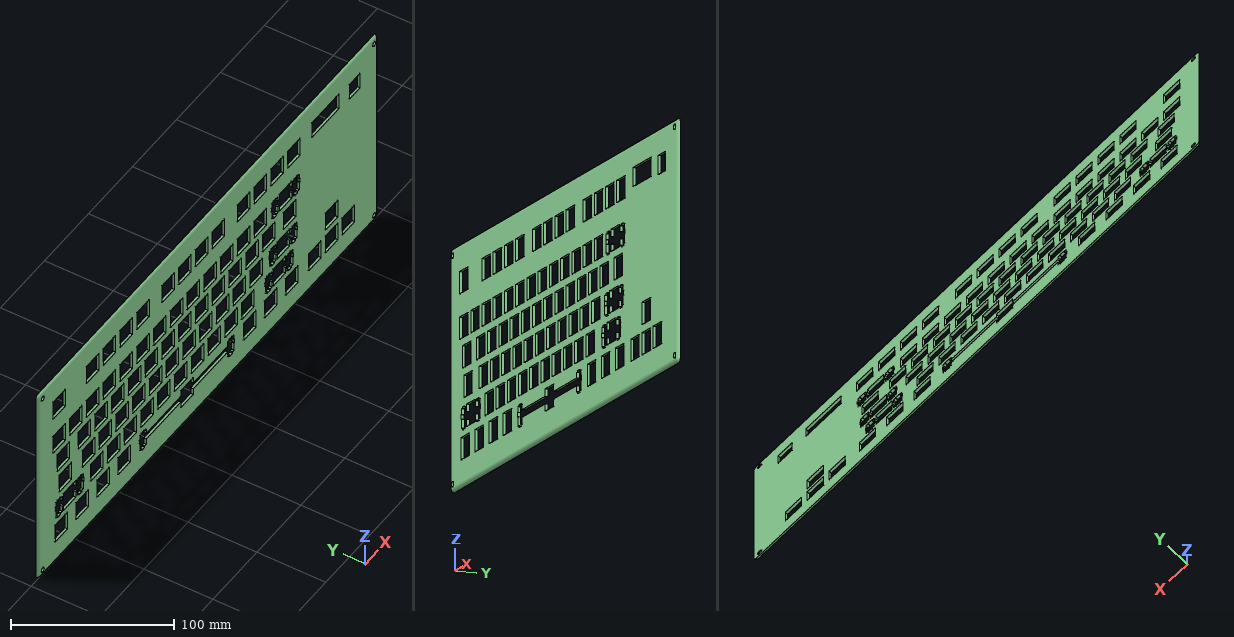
import cadquery as cq
import math

width = 386.8
height = 153.5
thickness = 2.0
rim_radius = 3.0

screw_diameter = 3.4
screw_inset = 5.0

main_block_width = 286.0
main_block_units = 15
pitch = main_block_width / main_block_units
switch_size = 14.0
key_margin = 14.5
block_left = -width / 2 + key_margin
number_row_z = 23.5

function_row = 1.5
number_row = 0
tab_row = -1
home_row = -2
shift_row = -3
bottom_row = -4

housing_half_width = 3.5
housing_top = 5.8
housing_bottom = 6.5
tab_half_width = 1.65
tab_top = 6.5
tab_bottom = 7.7
clip_depth = 0.58
clip_top = 2.3
clip_bottom = 0.5
wire_slot_height = 4.5
short_stem_offset = 12.0
space_stem_offset = 50.0

display_width = 30.5
display_height = 12.0
display_x = 133.0
display_z = 55.5
knob_size = 12.0
knob_x = 166.5
knob_z = 53.8

arrow_start = 15.25
key_rows = {
    function_row: [(0, [1]), (2, [1] * 4), (6.5, [1] * 4), (11, [1] * 4)],
    number_row: [(0, [1] * 13 + [2])],
    tab_row: [(0, [1.5] + [1] * 12 + [1.5])],
    home_row: [(0, [1.75] + [1] * 11 + [2.25])],
    shift_row: [(0, [2.25] + [1] * 10 + [2.75]), (arrow_start + 1, [1])],
    bottom_row: [(0, [1.25] * 4 + [6.25] + [1.25] * 3), (arrow_start, [1] * 3)],
}

stem_offsets = {
    2: short_stem_offset,
    2.25: short_stem_offset,
    2.75: short_stem_offset,
    6.25: space_stem_offset,
}


def keys_in_row(row):
    """Centre point and keycap width of every key in a row."""
    keys = []
    for start, cap_widths in key_rows[row]:
        left = start
        for cap_width in cap_widths:
            x = block_left + (left + cap_width / 2) * pitch
            keys.append(((x, number_row_z + row * pitch), cap_width))
            left += cap_width
    return keys


def rounded_plate():
    """Front layer of a block rounded on all sides, kept to the plate thickness."""
    rim_setback = rim_radius - math.sqrt(rim_radius**2 - (rim_radius - thickness) ** 2)
    block_depth = 2 * rim_radius
    block = (
        cq.Workplane("XZ")
        .rect(width + 2 * rim_setback, height + 2 * rim_setback)
        .extrude(-block_depth)
        .edges("|Y")
        .fillet(rim_radius)
        .faces("<Y")
        .edges()
        .fillet(rim_radius)
    )
    layer = cq.Workplane("XZ").rect(2 * width, 2 * height).extrude(-thickness)
    return block.intersect(layer)


def cut_windows(plate, centres, size_x, size_z):
    """Cut the same rectangular window through the plate at every centre."""
    cutters = cq.Workplane("XZ").pushPoints(centres).rect(size_x, size_z).extrude(-thickness)
    return plate.cut(cutters)


def stabilized_key_outline(stem_offset):
    """Switch window joined by a wire slot to a stem housing on either side."""
    half_switch = switch_size / 2
    half_slot = wire_slot_height / 2
    inner = stem_offset - housing_half_width
    outer = stem_offset + housing_half_width
    tab_inner = stem_offset - tab_half_width
    tab_outer = stem_offset + tab_half_width
    clip = outer + clip_depth
    right_half = [
        (half_switch, half_switch),
        (half_switch, half_slot),
        (inner, half_slot),
        (inner, housing_top),
        (tab_inner, housing_top),
        (tab_inner, tab_top),
        (tab_outer, tab_top),
        (tab_outer, housing_top),
        (outer, housing_top),
        (outer, clip_top),
        (clip, clip_top),
        (clip, -clip_bottom),
        (outer, -clip_bottom),
        (outer, -housing_bottom),
        (tab_outer, -housing_bottom),
        (tab_outer, -tab_bottom),
        (tab_inner, -tab_bottom),
        (tab_inner, -housing_bottom),
        (inner, -housing_bottom),
        (inner, -half_slot),
        (half_switch, -half_slot),
        (half_switch, -half_switch),
    ]
    left_half = [(-x, z) for x, z in reversed(right_half)]
    return right_half + left_half


def cut_stabilized_key(plate, centre, stem_offset):
    x, z = centre
    outline = stabilized_key_outline(stem_offset)
    cutter = cq.Workplane("XZ").polyline(outline).close().extrude(-thickness)
    return plate.cut(cutter.translate((x, 0, z)))


plate = rounded_plate()

screw_holes = (
    cq.Workplane("XZ")
    .rect(width - 2 * screw_inset, height - 2 * screw_inset, forConstruction=True)
    .vertices()
    .circle(screw_diameter / 2)
    .extrude(-thickness)
)
plate = plate.cut(screw_holes)

keys = [key for row in key_rows for key in keys_in_row(row)]
plain_centres = [centre for centre, cap_width in keys if cap_width not in stem_offsets]
plate = cut_windows(plate, plain_centres, switch_size, switch_size)

for centre, cap_width in keys:
    if cap_width in stem_offsets:
        plate = cut_stabilized_key(plate, centre, stem_offsets[cap_width])

plate = cut_windows(plate, [(display_x, display_z)], display_width, display_height)
plate = cut_windows(plate, [(knob_x, knob_z)], knob_size, knob_size)

result = plate.solids()